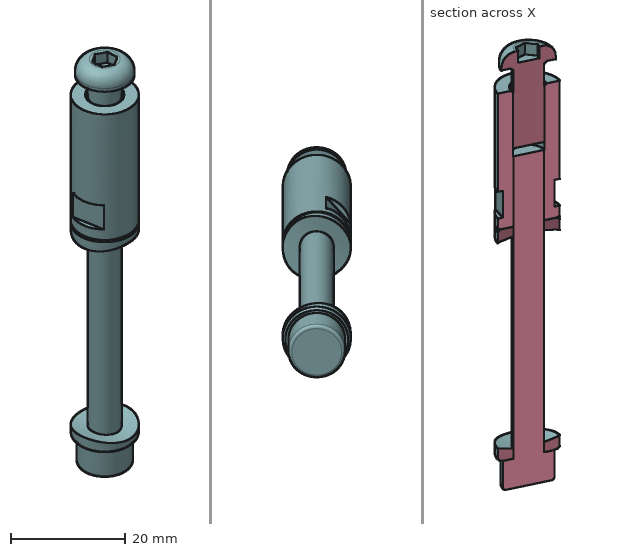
import cadquery as cq
import math

total_height = 86.7
outer_diameter = 12.0
shaft_diameter = 6.0
outer_radius = outer_diameter / 2
shaft_radius = shaft_diameter / 2

cap_head_diameter = 10.0
cap_head_height = 6.0
cap_head_edge_radius = 0.6
cap_shaft_length = 60.0

washer_height = 2.7
washer_edge_chamfer = 0.48
saddle_depth = 0.9

sleeve_bottom = 52.0
sleeve_top = 79.1
bore_chamfer = 0.4
flat_spacing = 10.0
flat_height = 5.2
flat_bottom = 54.3

button_diameter = 10.5
button_height = 3.3
button_rim_height = 0.7
button_neck_diameter = 7.2
button_neck_height = 0.4
button_shaft_length = 15.95
socket_width = 4.0
socket_depth = 2.3
socket_mouth_diameter = 5.4
socket_mouth_depth = 0.1
socket_turn = -7.0


def cylinder(diameter, height, bottom):
    """Upright cylinder about the Z axis."""
    return cq.Workplane("XY").workplane(offset=bottom).circle(diameter / 2).extrude(height)


def make_cap_screw():
    head = cylinder(cap_head_diameter, cap_head_height, 0).faces("<Z").edges().fillet(cap_head_edge_radius)
    return head.union(cylinder(shaft_diameter, cap_shaft_length, cap_head_height))


def make_saddle_washer():
    """Washer with its flat, chamfered face at Z = 0 and its hollow face on top."""
    washer = cylinder(outer_diameter, washer_height, 0).faces("<Z").edges().chamfer(washer_edge_chamfer)
    saddle_radius = (outer_radius**2 + saddle_depth**2) / (2 * saddle_depth)
    saddle_axis_height = washer_height - saddle_depth + saddle_radius
    saddle = (
        cq.Workplane("YZ")
        .center(0, saddle_axis_height)
        .circle(saddle_radius)
        .extrude(outer_radius, both=True)
    )
    return washer.cut(saddle).cut(cylinder(shaft_diameter, washer_height, 0))


def make_sleeve():
    length = sleeve_top - sleeve_bottom
    sleeve = cylinder(outer_diameter, length, sleeve_bottom).cut(
        cylinder(shaft_diameter, length, sleeve_bottom)
    )
    bore_edge = sleeve.faces(">Z").edges(cq.selectors.RadiusNthSelector(0))
    sleeve = bore_edge.chamfer(bore_chamfer)
    flat_cut_depth = (outer_diameter - flat_spacing) / 2
    for side in (-1, 1):
        flat_cut = cq.Workplane("XY").box(
            outer_diameter, flat_cut_depth, flat_height, centered=(True, True, False)
        )
        cut_center = side * (flat_spacing + flat_cut_depth) / 2
        sleeve = sleeve.cut(flat_cut.translate((0, cut_center, flat_bottom)))
    return sleeve


def make_button_screw():
    head_bottom = total_height - button_height
    rim_top = head_bottom + button_rim_height
    neck_bottom = head_bottom - button_neck_height
    shaft_bottom = head_bottom - button_shaft_length
    button_radius = button_diameter / 2

    dome_radius = total_height - rim_top
    top_radius = button_radius - dome_radius
    dome_middle = (
        top_radius + dome_radius * math.sin(math.pi / 4),
        rim_top + dome_radius * math.sin(math.pi / 4),
    )
    screw = (
        cq.Workplane("XZ")
        .moveTo(0, shaft_bottom)
        .lineTo(shaft_radius, shaft_bottom)
        .lineTo(shaft_radius, neck_bottom)
        .lineTo(button_neck_diameter / 2, head_bottom)
        .lineTo(button_radius, head_bottom)
        .lineTo(button_radius, rim_top)
        .threePointArc(dome_middle, (top_radius, total_height))
        .lineTo(0, total_height)
        .close()
        .revolve(360, (0, 0, 0), (0, 1, 0))
    )

    socket = (
        cq.Workplane("XY")
        .workplane(offset=total_height - socket_depth)
        .polygon(6, socket_width / math.cos(math.pi / 6))
        .extrude(socket_depth)
        .rotate((0, 0, 0), (0, 0, 1), socket_turn)
    )
    mouth = cq.Workplane("XY").add(
        cq.Solid.makeCone(socket_width / 2, socket_mouth_diameter / 2, socket_mouth_depth)
    ).translate((0, 0, total_height - socket_mouth_depth))
    return screw.cut(socket).cut(mouth)


cap_screw = make_cap_screw()
sleeve = make_sleeve()
button_screw = make_button_screw()

saddle_washers = []
for turn, seat_height in ((0, cap_head_height), (180, sleeve_bottom)):
    washer = make_saddle_washer().rotate((0, 0, 0), (1, 0, 0), turn)
    saddle_washers.append(washer.translate((0, 0, seat_height)).val())

result = cq.Compound.makeCompound([cap_screw.val(), *saddle_washers, sleeve.val(), button_screw.val()])